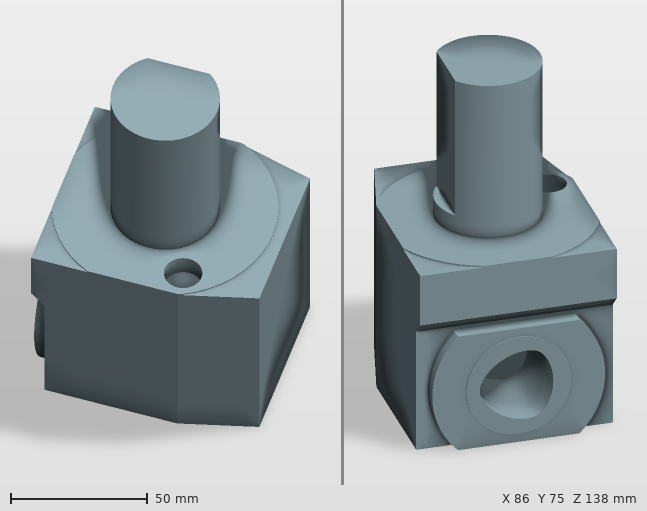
import cadquery as cq
import math

body_width = 75.0
flange_top = 75.0
flange_thickness = 0.5
body_left = -39.3
body_right = 46.0
taper_start_x = 17.0
taper_angle = 15
recess_x = -34.2
recess_top = 48.9
recess_slope = recess_x - body_left

flange_radius = 41.4

shank_diameter = 40
total_height = 138
flat_y = 16.0
shank_root_height = 7.5
flat_bottom = flange_top + shank_root_height

pin_diameter = 14.1
pin_circle_radius = 31.7
pin_angle = -60
pin_depth = 8.0

spindle_z = 23.9
plate_x = -39.6
plate_radius = 33.0
plate_half_height = 23.5
ring_x = -40
ring_diameter = 40

socket_diameter = 28.0
socket_eccentricity = 1.0
socket_depth = 30.4
socket_taper = 1 / 20
socket_curve_points = 36


def make_body():
    """Block narrowing towards +X, with a sloped recess across its -X face."""
    half_width = body_width / 2
    end_half_width = half_width - (body_right - taper_start_x) * math.tan(math.radians(taper_angle))
    block = (
        cq.Workplane("XY")
        .moveTo(body_left, -half_width)
        .lineTo(taper_start_x, -half_width)
        .lineTo(body_right, -end_half_width)
        .lineTo(body_right, end_half_width)
        .lineTo(taper_start_x, half_width)
        .lineTo(body_left, half_width)
        .close()
        .extrude(flange_top)
    )
    recess = (
        cq.Workplane("XZ")
        .moveTo(body_left, 0)
        .lineTo(recess_x, 0)
        .lineTo(recess_x, recess_top)
        .lineTo(body_left, recess_top + recess_slope)
        .close()
        .extrude(half_width, both=True)
    )
    flange_bottom = flange_top - flange_thickness
    flange_surround = (
        cq.Workplane("XY", origin=(0, 0, flange_bottom))
        .rect(3 * flange_radius, 3 * flange_radius)
        .circle(flange_radius)
        .extrude(flange_thickness)
    )
    return block.cut(recess).cut(flange_surround)


def make_shank():
    """Round shank, flattened on +Y above a short full-round root."""
    shank = (
        cq.Workplane("XY", origin=(0, 0, flange_top))
        .circle(shank_diameter / 2)
        .extrude(total_height - flange_top)
    )
    flat_cutter = cq.Workplane("XY").box(
        shank_diameter, shank_diameter, total_height - flat_bottom, centered=(True, False, False)
    )
    return shank.cut(flat_cutter.translate((0, flat_y, flat_bottom)))


def make_pin_hole():
    angle = math.radians(pin_angle)
    center_x = pin_circle_radius * math.cos(angle)
    center_y = pin_circle_radius * math.sin(angle)
    return (
        cq.Workplane("XY", origin=(center_x, center_y, flange_top))
        .circle(pin_diameter / 2)
        .extrude(-pin_depth)
    )


def make_spindle():
    """Round plate cut flat above and below, with a thin raised ring face."""
    plate = (
        cq.Workplane("YZ", origin=(plate_x, 0, spindle_z))
        .circle(plate_radius)
        .extrude(recess_x - plate_x)
    )
    flats = (
        cq.Workplane("YZ", origin=(plate_x, 0, spindle_z))
        .rect(2 * plate_radius, 2 * plate_half_height)
        .extrude(recess_x - plate_x)
    )
    ring = (
        cq.Workplane("YZ", origin=(ring_x, 0, spindle_z))
        .circle(ring_diameter / 2)
        .extrude(recess_x - ring_x)
    )
    return plate.intersect(flats).union(ring)


def lobed_point(angle, diameter):
    """Point on a rounded three-lobed outline with one lobe towards +Y."""
    e = socket_eccentricity
    y = -diameter / 2 * math.cos(angle) + 2 * e * math.cos(2 * angle) - e * math.cos(4 * angle)
    z = diameter / 2 * math.sin(angle) + 2 * e * math.sin(2 * angle) + e * math.sin(4 * angle)
    return (y, z)


def lobed_outline(diameter):
    step = 2 * math.pi / socket_curve_points
    return [lobed_point(i * step, diameter) for i in range(socket_curve_points)]


def make_socket():
    """Three-lobed pocket that narrows with depth."""
    end_diameter = socket_diameter - socket_depth * socket_taper
    return (
        cq.Workplane("YZ", origin=(ring_x, 0, spindle_z))
        .spline(lobed_outline(socket_diameter), periodic=True)
        .close()
        .workplane(offset=socket_depth)
        .spline(lobed_outline(end_diameter), periodic=True)
        .close()
        .loft(ruled=True)
    )


result = (
    make_body()
    .union(make_shank())
    .union(make_spindle())
    .cut(make_pin_hole())
    .cut(make_socket())
)